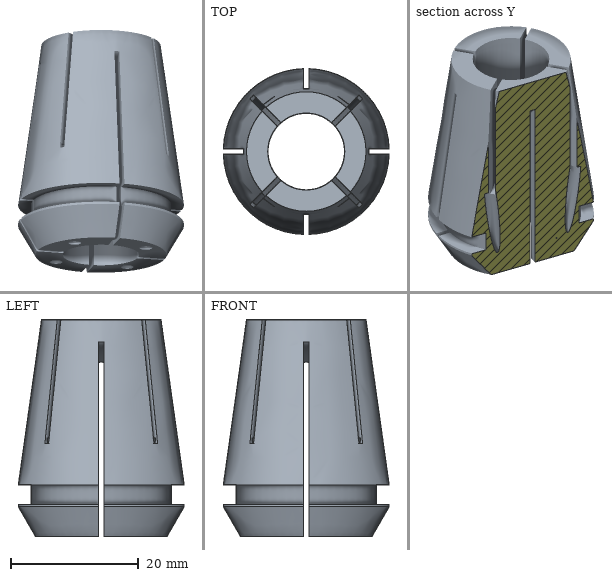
import cadquery as cq
import math

length = 34.0
outer_radius = 13.0
bore_radius = 6.0

nose_half_angle = math.radians(30)
nose_cone_height = 4.7
groove_bottom = 5.05
groove_top = 8.1
groove_radius = 11.0

body_half_angle = math.radians(8)

slot_width = 0.8
slots_per_set = 4
saw_radius = 12.0
front_slot_saw_offset = 15.4
front_slot_surface_z = 30.5
back_slot_saw_offset = 11.0
back_slot_floor_z = 14.55

relief_diameter = 2.0
relief_floor_radius = 10.5
relief_overrun = 1.0

clearance = 1.0
cutter_inner = bore_radius - clearance
cutter_outer = outer_radius + clearance

nose_radius = outer_radius - nose_cone_height * math.tan(nose_half_angle)
back_radius = outer_radius - (length - groove_top) * math.tan(body_half_angle)


def saw_rise(radius, saw_offset):
    """Height of the saw rim above its own centre at a distance from the collet axis."""
    return math.sqrt(saw_radius**2 - (radius - saw_offset) ** 2)


def make_body():
    """Revolve the collet wall about Z."""
    return (
        cq.Workplane("XZ")
        .moveTo(bore_radius, 0)
        .lineTo(nose_radius, 0)
        .lineTo(outer_radius, nose_cone_height)
        .lineTo(outer_radius, groove_bottom)
        .lineTo(groove_radius, groove_bottom)
        .lineTo(groove_radius, groove_top)
        .lineTo(outer_radius, groove_top)
        .lineTo(back_radius, length)
        .lineTo(bore_radius, length)
        .close()
        .revolve(360, (0, 0, 0), (0, 1, 0))
    )


def make_slot_cutter(open_z, saw_center_z, saw_offset, direction):
    """Radial blade along +X, open at open_z; direction is +1 to cut upward and -1 downward."""
    middle = (cutter_inner + cutter_outer) / 2

    def rim_point(radius):
        return (radius, saw_center_z + direction * saw_rise(radius, saw_offset))

    return (
        cq.Workplane("XZ")
        .moveTo(cutter_inner, open_z)
        .lineTo(*rim_point(cutter_inner))
        .threePointArc(rim_point(middle), rim_point(cutter_outer))
        .lineTo(cutter_outer, open_z)
        .close()
        .extrude(slot_width / 2, both=True)
    )


def make_relief_cutter():
    """Leaning cylinder in the XZ plane, from the middle of the nose face to the back slot floor."""
    start_radius = (bore_radius + nose_radius) / 2
    lean = math.atan2(relief_floor_radius - start_radius, back_slot_floor_z)
    direction = cq.Vector(math.sin(lean), 0, math.cos(lean))
    start = cq.Vector(start_radius, 0, 0) - direction * clearance
    depth = clearance + back_slot_floor_z / math.cos(lean) + relief_overrun
    return cq.Workplane(cq.Solid.makeCylinder(relief_diameter / 2, depth, start, direction))


def cut_around(body, cutter, first_angle):
    """Cut copies of a cutter from the wall at equal angles about Z."""
    for index in range(slots_per_set):
        angle = first_angle + index * 360 / slots_per_set
        body = body.cut(cutter.rotate((0, 0, 0), (0, 0, 1), angle))
    return body


front_slot_surface_radius = outer_radius - (front_slot_surface_z - groove_top) * math.tan(body_half_angle)
front_saw_z = front_slot_surface_z - saw_rise(front_slot_surface_radius, front_slot_saw_offset)
back_saw_z = back_slot_floor_z + saw_radius

front_cutter = make_slot_cutter(-clearance, front_saw_z, front_slot_saw_offset, 1)
back_cutter = make_slot_cutter(length + clearance, back_saw_z, back_slot_saw_offset, -1)

diagonal_angle = 180 / slots_per_set
result = make_body()
result = cut_around(result, front_cutter, 0)
result = cut_around(result, back_cutter, diagonal_angle)
result = cut_around(result, make_relief_cutter(), diagonal_angle)